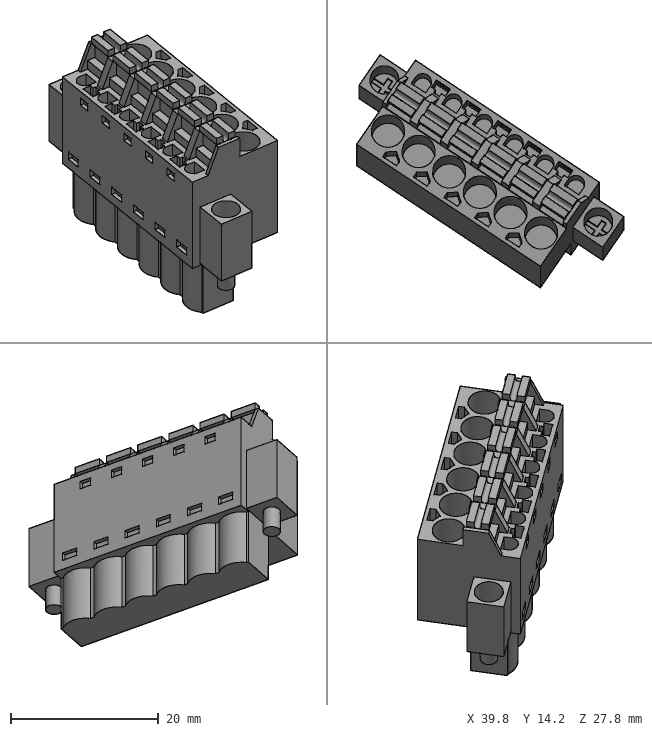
import cadquery as cq


overall_length = 39.8
body_length = 30.0
depth = 14.2
pole_count = 6
pitch = body_length / pole_count
flange_length = (overall_length - body_length) / 2
pole_centers = [(i - (pole_count - 1) / 2) * pitch for i in range(pole_count)]
gap_centers = [(i - (pole_count - 2) / 2) * pitch for i in range(pole_count - 1)]

body_bottom = 8.25
front_shelf = 22.65
back_shelf = 23.6
tower_top = 26.63

tower_back = 7.92
slope_top_y = 4.38
slope_bottom_y = 2.63

nose_front = 1.8
nose_back = 6.85
bulge_front = 0.88
bulge_width = 4.45

flange_front = 1.3
flange_back = 6.4
flange_bottom = 8.48
flange_top = 17.95
screw_y = (flange_front + flange_back) / 2
screw_x = body_length / 2 + flange_length / 2

head_diameter = 3.9
head_top = 12.35
head_height = 1.6
shank_diameter = 2.35
shank_bottom = 5.25
drive_depth = 0.6
drive_bar_width = 0.6
drive_arm_width = 0.7
drive_arm_length = 2.7

wire_hole_diameter = 4.45
wire_hole_y = 10.35
wire_hole_depth = 5.97

back_pocket_width = 2.23
back_pocket_back = 13.65
back_pocket_shoulder = 12.85
back_pocket_tip = 12.0

test_hole_width = 2.35
test_hole_front = 0.8
test_hole_back = 3.0

coding_width = 2.23
coding_front = 0.68
coding_shoulder = 1.87
coding_neck_width = 0.95
coding_back = 2.35
pocket_depth = 3.2

window_depth = 0.6
window_height = 1.2
upper_window_width = 1.65
upper_window_z = 20.97
lower_window_width = 2.23
lower_window_z = 10.3

lever_width = 3.85
foot_front = 3.82
foot_top = 24.08
head_front = 4.4
head_back = 7.55
head_overhang = 0.6
head_bottom = 26.7
lever_top = 27.75
groove_width = 0.95
groove_wall_bottom = 27.1
groove_bottom = 26.63

hook_width = 3.85
hook_root_back = 10.15
hook_root_front = 8.15
hook_back_curve = (9.65, 5.85)
hook_tip_start = (8.75, 4.2)
hook_tip_middle = (8.1, 4.3)
hook_tip_end = (8.15, 5.05)
hook_neck_y = 8.5
hook_neck_bottom = 5.4
hook_neck_top = 7.2


def block(x_center, x_size, y_min, y_max, z_min, z_max):
    """Box centred on x_center, between the given Y and Z limits."""
    return (
        cq.Workplane("XY")
        .box(x_size, y_max - y_min, z_max - z_min, centered=(True, False, False))
        .translate((x_center, y_min, z_min))
    )


def side_extrusion(outline, width):
    """Close a YZ outline and extrude it to both sides of its plane."""
    return outline.close().extrude(width / 2, both=True)


def make_body_block():
    outline = (
        cq.Workplane("YZ")
        .moveTo(0, body_bottom)
        .lineTo(depth, body_bottom)
        .lineTo(depth, back_shelf)
        .lineTo(tower_back, back_shelf)
        .lineTo(tower_back, tower_top)
        .lineTo(slope_top_y, tower_top)
        .lineTo(slope_bottom_y, front_shelf)
        .lineTo(0, front_shelf)
    )
    return side_extrusion(outline, body_length)


def make_nose():
    """Plug nose with one rounded bulge per pole on its front."""
    nose = block(0, body_length, nose_front, nose_back, 0, body_bottom)
    for x in pole_centers:
        bulge = (
            cq.Workplane("XY")
            .moveTo(x - bulge_width / 2, nose_front)
            .threePointArc((x, bulge_front), (x + bulge_width / 2, nose_front))
            .close()
            .extrude(body_bottom)
        )
        nose = nose.union(bulge)
    return nose


def make_hook():
    """Curved latch hook with a rounded tip."""
    outline = (
        cq.Workplane("YZ")
        .moveTo(hook_root_back, body_bottom)
        .threePointArc(hook_back_curve, hook_tip_start)
        .threePointArc(hook_tip_middle, hook_tip_end)
        .lineTo(hook_neck_y, hook_neck_bottom)
        .lineTo(hook_neck_y, hook_neck_top)
        .lineTo(hook_root_front, body_bottom)
    )
    return side_extrusion(outline, hook_width)


def make_wire_hole(x):
    return (
        cq.Workplane("XY", origin=(x, wire_hole_y, back_shelf))
        .circle(wire_hole_diameter / 2)
        .extrude(-wire_hole_depth)
    )


def make_back_pocket(x):
    half = back_pocket_width / 2
    return (
        cq.Workplane("XY", origin=(x, 0, back_shelf))
        .moveTo(-half, back_pocket_back)
        .lineTo(half, back_pocket_back)
        .lineTo(half, back_pocket_shoulder)
        .lineTo(0, back_pocket_tip)
        .lineTo(-half, back_pocket_shoulder)
        .close()
        .extrude(-pocket_depth)
    )


def make_test_hole(x):
    radius = test_hole_width / 2
    arc_start = test_hole_front + radius
    return (
        cq.Workplane("XY", origin=(x, 0, front_shelf))
        .moveTo(radius, arc_start)
        .lineTo(radius, test_hole_back)
        .lineTo(-radius, test_hole_back)
        .lineTo(-radius, arc_start)
        .threePointArc((0, test_hole_front), (radius, arc_start))
        .close()
        .extrude(-pocket_depth)
    )


def make_coding_pocket(x):
    floor = front_shelf - pocket_depth
    wide = block(x, coding_width, coding_front, coding_shoulder, floor, front_shelf)
    neck = block(x, coding_neck_width, coding_shoulder, coding_back, floor, front_shelf)
    return wide.union(neck)


def make_window(x, z_center, width):
    half = window_height / 2
    return block(x, width, 0, window_depth, z_center - half, z_center + half)


def make_screw_body(x):
    """Head and shank of a flange screw, without its drive recess."""
    head_bottom_z = head_top - head_height
    head = (
        cq.Workplane("XY", origin=(x, screw_y, head_bottom_z))
        .circle(head_diameter / 2)
        .extrude(head_height)
    )
    shank = (
        cq.Workplane("XY", origin=(x, screw_y, shank_bottom))
        .circle(shank_diameter / 2)
        .extrude(head_bottom_z - shank_bottom)
    )
    return head.union(shank)


def make_flange(x):
    """Side flange with a stepped hole that fits its screw."""
    flange = block(x, flange_length, flange_front, flange_back, flange_bottom, flange_top)
    access_hole = (
        cq.Workplane("XY", origin=(x, screw_y, head_top))
        .circle(head_diameter / 2)
        .extrude(flange_top - head_top)
    )
    return flange.cut(access_hole).cut(make_screw_body(x))


def make_housing():
    housing = make_body_block().union(make_nose()).union(make_hook())
    for x in pole_centers:
        housing = housing.cut(block(x, lever_width, slope_bottom_y, tower_back, front_shelf, tower_top))
        housing = housing.cut(make_wire_hole(x))
        housing = housing.cut(make_test_hole(x))
        housing = housing.cut(make_window(x, lower_window_z, lower_window_width))
    for x in gap_centers:
        housing = housing.cut(make_back_pocket(x))
        housing = housing.cut(make_coding_pocket(x))
        housing = housing.cut(make_window(x, upper_window_z, upper_window_width))
    for side in (-1, 1):
        housing = housing.union(make_flange(side * screw_x))
    return housing


def make_lever(x):
    """Release lever: foot on the slot floor, upright stem, grooved head."""
    foot = block(x, lever_width, foot_front, tower_back, front_shelf, foot_top)
    stem_front = head_front + head_overhang
    stem_back = head_back - head_overhang
    stem = block(x, lever_width, stem_front, stem_back, foot_top, head_bottom)
    head = block(x, lever_width, head_front, head_back, head_bottom, lever_top)
    groove_y = (head_front + head_back) / 2
    groove_start = groove_y - groove_width / 2
    groove_end = groove_y + groove_width / 2
    groove = (
        cq.Workplane("YZ", origin=(x, 0, 0))
        .moveTo(groove_start, lever_top)
        .lineTo(groove_start, groove_wall_bottom)
        .threePointArc((groove_y, groove_bottom), (groove_end, groove_wall_bottom))
        .lineTo(groove_end, lever_top)
    )
    return foot.union(stem).union(head).cut(side_extrusion(groove, lever_width))


def make_screw(x):
    """Flange screw with a cross recess whose long bar spans the whole head."""
    recess_floor = head_top - drive_depth
    bar_half = drive_bar_width / 2
    arm_half = drive_arm_length / 2
    bar = block(x, head_diameter, screw_y - bar_half, screw_y + bar_half, recess_floor, head_top)
    arm = block(x, drive_arm_width, screw_y - arm_half, screw_y + arm_half, recess_floor, head_top)
    return make_screw_body(x).cut(bar).cut(arm)


housing = make_housing()
levers = [make_lever(x) for x in pole_centers]
screws = [make_screw(side * screw_x) for side in (-1, 1)]

result = cq.Compound.makeCompound(
    [
        housing.val(),
        *[lever.val() for lever in levers],
        *[screw.val() for screw in screws],
    ]
)